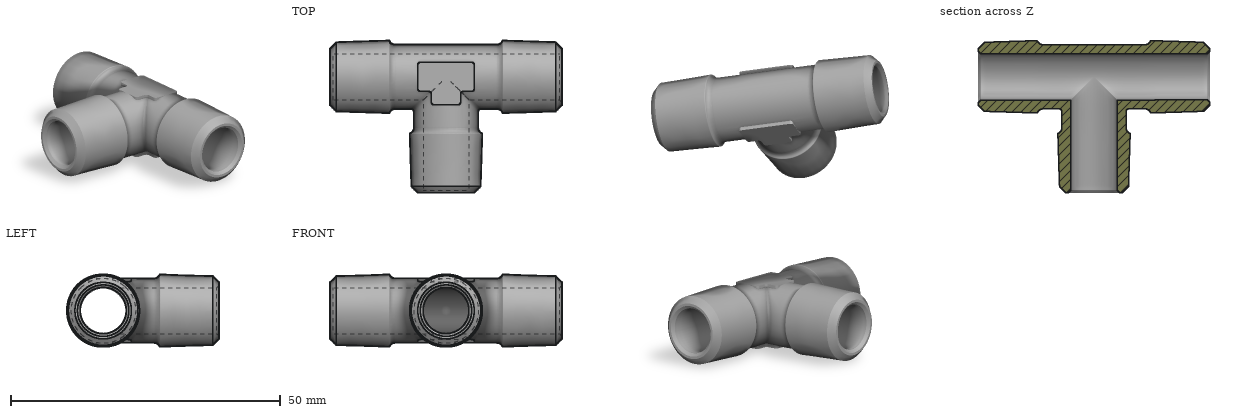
import cadquery as cq
import math

port_reach = 21.5
port_length = 11.0
port_large_radius = 6.75
thread_taper = 1 / 32
mouth_chamfer = 1.2
port_edge_round = 0.17

neck_radius = 12.0 / 2
shoulder_round = 1.08
neck_length = port_reach - port_length

bore_radius = 8.5 / 2
bore_chamfer = 0.5

crotch_fillet = 0.45

pad_half_length = 5.25
pad_half_width = 2.7
pad_stem_reach = 5.2
pad_corner_radius = 0.5

port_angles = (0, 180, 270)


def along_port(solid, angle):
    """Turn a solid built along +X to point along one of the ports."""
    return solid.rotate((0, 0, 0), (0, 0, 1), angle)


def port():
    """Tapered end with a mouth chamfer and a hollow shoulder down to the neck."""
    shoulder_x = port_reach - port_length
    chamfer_x = port_reach - mouth_chamfer
    small_radius = port_large_radius - thread_taper * (chamfer_x - shoulder_x)

    shoulder_height = port_large_radius - neck_radius
    hollow_angle = math.acos(1 - shoulder_height / shoulder_round)
    hollow_start_x = shoulder_x - shoulder_round * math.sin(hollow_angle)
    hollow_middle = (
        hollow_start_x + shoulder_round * math.sin(hollow_angle / 2),
        neck_radius + shoulder_round * (1 - math.cos(hollow_angle / 2)),
    )

    body = (
        cq.Workplane("XY")
        .moveTo(hollow_start_x, 0)
        .lineTo(hollow_start_x, neck_radius)
        .threePointArc(hollow_middle, (shoulder_x, port_large_radius))
        .lineTo(chamfer_x, small_radius)
        .lineTo(port_reach, small_radius - mouth_chamfer)
        .lineTo(port_reach, 0)
        .close()
        .revolve(360, (0, 0, 0), (1, 0, 0))
    )
    shoulder_edge = cq.selectors.RadiusNthSelector(-1)
    return body.edges("%CIRCLE").edges(shoulder_edge).fillet(port_edge_round)


def bore():
    """Straight bore from the crossing to the mouth, with a 45 degree lead-in."""
    return (
        cq.Workplane("XY")
        .lineTo(0, bore_radius)
        .lineTo(port_reach - bore_chamfer, bore_radius)
        .lineTo(port_reach, bore_radius + bore_chamfer)
        .lineTo(port_reach, 0)
        .close()
        .revolve(360, (0, 0, 0), (1, 0, 0))
    )


def pads():
    """One T-shaped block whose ends form both pads."""
    return (
        cq.Workplane("XY")
        .workplane(offset=-neck_radius)
        .moveTo(-pad_half_length, pad_half_width)
        .lineTo(pad_half_length, pad_half_width)
        .lineTo(pad_half_length, -pad_half_width)
        .lineTo(pad_half_width, -pad_half_width)
        .lineTo(pad_half_width, -pad_stem_reach)
        .lineTo(-pad_half_width, -pad_stem_reach)
        .lineTo(-pad_half_width, -pad_half_width)
        .lineTo(-pad_half_length, -pad_half_width)
        .close()
        .extrude(2 * neck_radius)
        .edges("|Z")
        .fillet(pad_corner_radius)
    )


def crotch_edges():
    """Box around the edges where the branch neck meets the run."""
    return cq.selectors.BoxSelector(
        (-neck_radius, -neck_radius, -neck_radius),
        (neck_radius, 0, neck_radius),
    )


def neck_tee():
    """Run and branch necks, blended together in the inner corners."""
    tee = cq.Workplane("YZ").circle(neck_radius).extrude(neck_length, both=True)
    branch = cq.Workplane("XZ").circle(neck_radius).extrude(neck_length)
    return tee.union(branch).edges(crotch_edges()).fillet(crotch_fillet)


result = neck_tee().union(pads())
for angle in port_angles:
    result = result.union(along_port(port(), angle))
for angle in port_angles:
    result = result.cut(along_port(bore(), angle))